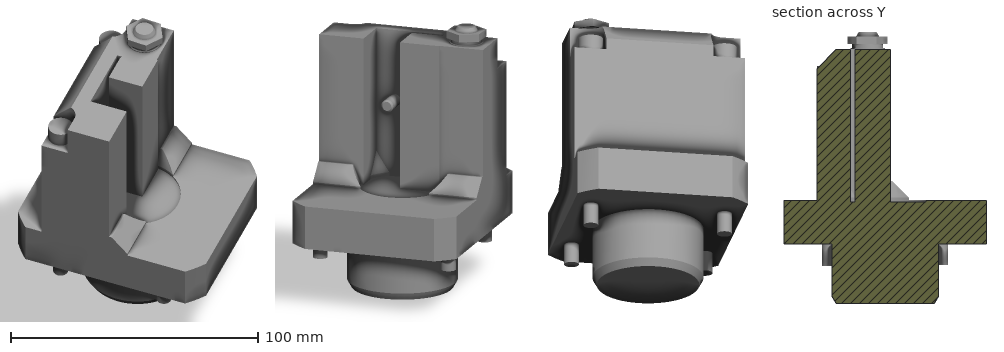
import cadquery as cq
import math


flange_length = 82.0
flange_width = 70.0
flange_thickness = 17.9
corner_circle_diameter = 98.8

spigot_diameter = 45.0
spigot_length = 24.0
spigot_taper_height = 3.1
spigot_taper_inset = 1.8

total_height = 109.8
upright_top = 78.9
upright_back = -27.8
upright_front = 1.8
back_bevel_run = 7.8
back_bevel_height = 8.1
ledge_top = 25.6
ledge_front = 2.9
foot_front = 9.7
foot_bevel = foot_front - ledge_front

slot_back = -14.0
slot_y_min = -16.0
slot_y_max = 13.0
seat_diameter = 35.0
seat_depth = 0.7
relief_start = ledge_top - foot_bevel
relief_angle = 24.0

jaw_back = -12.4
jaw_front = 2.2
jaw_y_min = -0.2
jaw_y_max = 16.6
jaw_corner_radius = 1.0

stop_pin_diameter = 5.0
stop_pin_length = 9.9
stop_pin_chamfer = 0.7
stop_pin_y = -8.1
stop_pin_z = 49.4

screw_x = 22.5
screw_y = 27.4
screw_head_diameter = 10.0
screw_head_height = 6.0
screw_diameter = 6.0
back_screw_reach = 8.8
front_screw_reach = 8.5
pocket_floor = 66.1
pocket_front = -16.4
pocket_inner_y = 22.0
pocket_corner_radius = 5.8

stud_x = -7.0
stud_y = 24.9
washer_diameter = 14.0
washer_thickness = 0.3
collar_diameter = 12.6
nut_bottom = 80.9
nut_top = 84.0
nut_across_flats = 14.0
nut_turn = -3.0
stud_base_diameter = 9.4
stud_tip_diameter = 7.2

stud_top = total_height - spigot_length
half_width = flange_width / 2
seat_floor = flange_thickness - seat_depth


def box(x_min, x_max, y_min, y_max, z_min, z_max):
    size = (x_max - x_min, y_max - y_min, z_max - z_min)
    return cq.Workplane("XY").box(*size, centered=False).translate((x_min, y_min, z_min))


def cylinder(x, y, z_bottom, z_top, diameter):
    base = cq.Workplane("XY", origin=(x, y, z_bottom))
    return base.circle(diameter / 2).extrude(z_top - z_bottom)


def make_flange():
    plate = cq.Workplane("XY").rect(flange_length, flange_width).extrude(flange_thickness)
    return plate.intersect(cylinder(0, 0, 0, flange_thickness, corner_circle_diameter))


def make_spigot():
    spigot = cylinder(0, 0, -spigot_length, flange_thickness / 2, spigot_diameter)
    return spigot.faces("<Z").chamfer(spigot_taper_height, spigot_taper_inset)


def make_upright():
    profile = [
        (upright_back, 0),
        (foot_front, 0),
        (foot_front, relief_start),
        (ledge_front, ledge_top),
        (upright_front, ledge_top),
        (upright_front, upright_top),
        (upright_back + back_bevel_run, upright_top),
        (upright_back, upright_top - back_bevel_height),
    ]
    side = cq.Workplane("XZ").polyline(profile).close()
    return side.extrude(half_width, both=True)


def make_slot_relief():
    """Slot and foot clearance, whose lower edge is rounded off by a cone about Z."""
    relief_height = upright_top - relief_start
    seat_radius = seat_diameter / 2
    cone_top_radius = seat_radius + relief_height * math.tan(math.radians(relief_angle))
    cone = (
        cq.Workplane("XZ")
        .moveTo(0, seat_floor)
        .lineTo(seat_radius, seat_floor)
        .lineTo(seat_radius, relief_start)
        .lineTo(cone_top_radius, upright_top)
        .lineTo(0, upright_top)
        .close()
        .revolve(360, (0, 0, 0), (0, 1, 0))
    )
    slot = box(slot_back, upright_front, slot_y_min, slot_y_max, seat_floor, upright_top)
    foot_side = box(upright_front, flange_length / 2, -half_width, half_width, seat_floor, upright_top)
    return cone.intersect(slot.union(foot_side))


def make_screw_pocket(side):
    """Open corner pocket for a screw head; side is +1 or -1 along Y."""
    y_range = sorted((side * pocket_inner_y, side * half_width))
    pocket = box(upright_back, pocket_front, *y_range, pocket_floor, upright_top)
    inner_edge = ">X and <Y" if side > 0 else ">X and >Y"
    return pocket.edges("|Z").edges(inner_edge).fillet(pocket_corner_radius)


def make_jaw():
    jaw = box(jaw_back, jaw_front, jaw_y_min, slot_y_max, seat_floor, upright_top)
    jaw = jaw.edges("|Z").edges("<X and >Y").fillet(jaw_corner_radius)
    lip = box(upright_front, jaw_front, jaw_y_min, jaw_y_max, seat_floor, upright_top)
    return jaw.union(lip)


def make_stop_pin():
    pin = cq.Workplane("YZ", origin=(slot_back, stop_pin_y, stop_pin_z)).circle(stop_pin_diameter / 2)
    return pin.extrude(stop_pin_length).faces(">X").chamfer(stop_pin_chamfer)


def make_stud():
    washer_top = upright_top + washer_thickness
    washer = cylinder(stud_x, stud_y, upright_top, washer_top, washer_diameter)
    collar = cylinder(stud_x, stud_y, washer_top, nut_bottom, collar_diameter)
    nut_across_corners = nut_across_flats / math.cos(math.radians(30))
    nut = (
        cq.Workplane("XY", origin=(stud_x, stud_y, nut_bottom))
        .transformed(rotate=(0, 0, nut_turn))
        .polygon(6, nut_across_corners)
        .extrude(nut_top - nut_bottom)
    )
    tip = (
        cq.Workplane("XY", origin=(stud_x, stud_y, nut_top))
        .circle(stud_base_diameter / 2)
        .workplane(offset=stud_top - nut_top)
        .circle(stud_tip_diameter / 2)
        .loft()
    )
    return washer.union(collar).union(nut).union(tip)


body = make_flange().union(make_spigot()).union(make_upright())
body = body.cut(make_slot_relief())
body = body.union(make_jaw())
body = body.union(make_stop_pin()).union(make_stud())

head_top = pocket_floor + screw_head_height
for side in (1, -1):
    y = side * screw_y
    body = body.cut(make_screw_pocket(side))
    body = body.union(cylinder(-screw_x, y, pocket_floor, head_top, screw_head_diameter))
    body = body.union(cylinder(-screw_x, y, -back_screw_reach, 0, screw_diameter))
    body = body.union(cylinder(screw_x, y, -front_screw_reach, 0, screw_diameter))

result = body